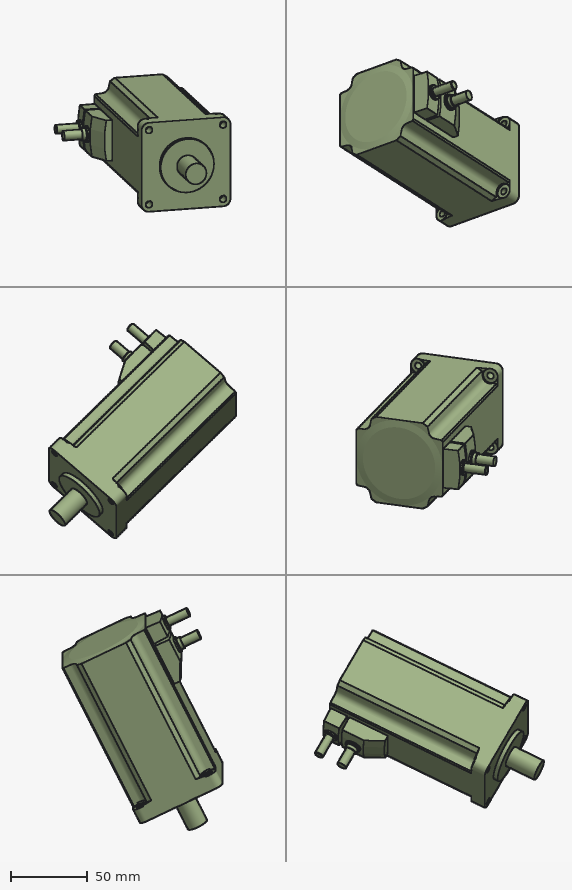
import cadquery as cq

frame_size = 60.0
half_frame = frame_size / 2

cap_height = 0.7
cap_base_diameter = 59.4
cap_face_diameter = 50.0

total_length = 138.8
shaft_length = 21.0
shaft_diameter = 14.0
pilot_thickness = 3.0
pilot_diameter = 36.0
pilot_face_x = total_length - shaft_length
flange_face_x = pilot_face_x - pilot_thickness

mounting_hole_diameter = 4.5
spotface_diameter = 10.0
corner_radius = spotface_diameter / 2
hole_offset = half_frame - corner_radius

notch_arc_radius = 4.9
notch_arc_near = 5.8
notch_arc_far = 9.7
notch_arc_middle = corner_radius + notch_arc_radius * 0.5**0.5
side_lip_depth = 0.8
side_lip_height = 10.1
side_mouth = 11.4
top_lip_depth = 2.1
top_lip_width = 10.5
top_mouth = 13.9

flange_side_thickness = 10.0
notch_face_rise = 1.4
notch_thin_x = flange_face_x - flange_side_thickness

connector_width = 27.2
connector_height = 11.2
crown_width = 10.5
crown_drop = 1.1

encoder_rear_x = 1.4
encoder_front_x = 13.6
encoder_draft = 0.5
encoder_cable_x = 7.5
power_rear_x = 15.1
power_draft = 0.3
power_slope_x = 31.4
power_front_x = 43.6
power_front_height = 5.0
power_cable_x = 24.2

encoder_cable_diameter = 6.0
power_cable_diameter = 6.5
collar_top = 12.9
encoder_collar_diameter = 10.0
encoder_cable_end = 28.0
encoder_tip_chamfer = 0.4
collar_chamfer = 0.4
power_collar_diameter = 10.5
power_neck_diameter = 8.2
power_neck_top = 15.4
power_cable_end = 27.5


def cylinder_along_x(diameter, start_x, end_x):
    return cq.Workplane("YZ", origin=(start_x, 0, 0)).circle(diameter / 2).extrude(end_x - start_x)


def at_four_corners(shape):
    """Mirror a shape made at the +Y +Z corner to all four corners."""
    upper = shape.union(shape.mirror("XZ"))
    return upper.union(upper.mirror("XY"))


def flange_block():
    length = flange_face_x - cap_height
    block = cq.Workplane("YZ", origin=(cap_height, 0, 0)).rect(frame_size, frame_size).extrude(length)
    return block.edges("|X").fillet(corner_radius)


def notch_face_wedge():
    """Space behind the sloping notch face at a +Y corner, drawn in plan."""
    plan = [
        (cap_height, half_frame),
        (notch_thin_x, half_frame),
        (notch_thin_x - notch_face_rise, half_frame - top_mouth),
        (cap_height, half_frame - top_mouth),
    ]
    return cq.Workplane("XY").polyline(plan).close().extrude(half_frame)


def corner_notch():
    """Open channel behind the flange at the +Y +Z corner."""

    def inset(from_side, from_top):
        return (half_frame - from_side, half_frame - from_top)

    channel = (
        cq.Workplane("YZ")
        .moveTo(*inset(0, 0))
        .lineTo(*inset(0, side_mouth))
        .lineTo(*inset(side_lip_depth, side_lip_height))
        .lineTo(*inset(notch_arc_near, notch_arc_far))
        .threePointArc(
            inset(notch_arc_middle, notch_arc_middle),
            inset(notch_arc_far, notch_arc_near),
        )
        .lineTo(*inset(top_lip_width, top_lip_depth))
        .lineTo(*inset(top_mouth, 0))
        .close()
        .extrude(flange_face_x)
    )
    return channel.intersect(notch_face_wedge())


def spotface():
    """Flat seat around a mounting hole, sunk into the sloping notch face."""
    seat = cylinder_along_x(spotface_diameter, notch_thin_x - notch_face_rise, notch_thin_x)
    return seat.translate((0, hole_offset, hole_offset))


def mounting_hole():
    hole = cylinder_along_x(mounting_hole_diameter, 0, flange_face_x)
    return hole.translate((0, hole_offset, hole_offset))


def rear_cap():
    return (
        cq.Workplane("YZ", origin=(cap_height, 0, 0))
        .circle(cap_base_diameter / 2)
        .workplane(offset=-cap_height)
        .circle(cap_face_diameter / 2)
        .loft(combine=True)
    )


def crown_section(height):
    """Points of a connector cross-section (Y, Z) with sloping crown flanks."""
    flank_y = -half_frame - height + crown_drop
    crown_y = -half_frame - height
    return [
        (-half_frame, -connector_width / 2),
        (flank_y, -connector_width / 2),
        (crown_y, -crown_width / 2),
        (crown_y, crown_width / 2),
        (flank_y, connector_width / 2),
        (-half_frame, connector_width / 2),
    ]


def crowned_bar(start_x, start_height, end_x, end_height):
    return (
        cq.Workplane("YZ", origin=(start_x, 0, 0))
        .polyline(crown_section(start_height))
        .close()
        .workplane(offset=end_x - start_x)
        .polyline(crown_section(end_height))
        .close()
        .loft(ruled=True)
    )


def drafted_prism(rear_x, front_x, rear_draft, front_draft):
    """Full-width prism whose ends lean inward away from the frame."""
    crown_y = -half_frame - connector_height
    plan = [
        (rear_x, -half_frame),
        (rear_x + rear_draft, crown_y),
        (front_x - front_draft, crown_y),
        (front_x, -half_frame),
    ]
    return cq.Workplane("XY").polyline(plan).close().extrude(connector_width / 2, both=True)


def cable_section(diameter, x, start, end):
    """Round length pointing in -Y between two heights above the frame side."""
    plane = cq.Workplane("XZ", origin=(x, -half_frame - start, 0))
    return plane.circle(diameter / 2).extrude(end - start)


def encoder_connector():
    bar = crowned_bar(encoder_rear_x, connector_height, encoder_front_x, connector_height)
    housing = bar.intersect(drafted_prism(encoder_rear_x, encoder_front_x, encoder_draft, encoder_draft))
    collar = cable_section(encoder_collar_diameter, encoder_cable_x, connector_height, collar_top)
    collar = collar.faces("<Y").chamfer(collar_chamfer)
    cable = cable_section(encoder_cable_diameter, encoder_cable_x, connector_height, encoder_cable_end)
    cable = cable.faces("<Y").chamfer(encoder_tip_chamfer)
    return housing.union(collar).union(cable)


def power_connector():
    straight = crowned_bar(power_rear_x, connector_height, power_slope_x, connector_height)
    sloped = crowned_bar(power_slope_x, connector_height, power_front_x, power_front_height)
    housing = straight.union(sloped).intersect(drafted_prism(power_rear_x, power_front_x, power_draft, 0))
    collar = cable_section(power_collar_diameter, power_cable_x, connector_height, collar_top)
    collar = collar.faces("<Y").chamfer(collar_chamfer)
    neck = cable_section(power_neck_diameter, power_cable_x, connector_height, power_neck_top)
    cable = cable_section(power_cable_diameter, power_cable_x, connector_height, power_cable_end)
    return housing.union(collar).union(neck).union(cable)


result = (
    flange_block()
    .cut(at_four_corners(corner_notch()))
    .cut(at_four_corners(spotface()))
    .cut(at_four_corners(mounting_hole()))
    .union(rear_cap())
    .union(cylinder_along_x(pilot_diameter, flange_face_x, pilot_face_x))
    .union(cylinder_along_x(shaft_diameter, flange_face_x, total_length))
    .union(encoder_connector())
    .union(power_connector())
)